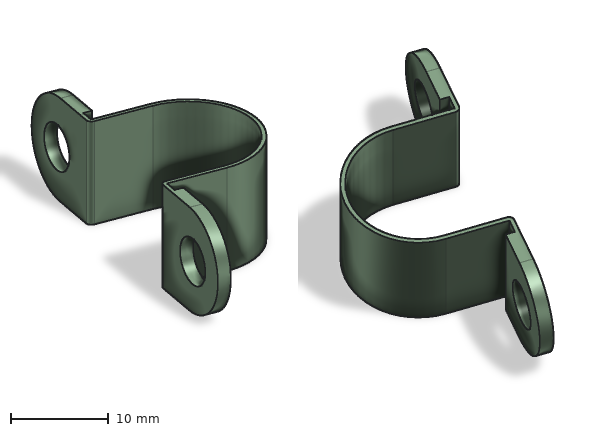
import cadquery as cq

length = 39.2
depth = 15.5
width = 12.0

strap_thickness = 0.5
strap_radius = 8.0
bend_radius = 0.6
tab_thickness = 1.53
pad_inner_x = 9.6
hole_diameter = 5.3
hole_spacing = 28.58

inner_radius = strap_radius - strap_thickness
arc_center_y = depth - strap_radius
tab_end_radius = width / 2
tab_arc_x = length / 2 - tab_end_radius


def make_strap():
    """Half-round strap with two straight legs, open toward -Y."""
    profile = (
        cq.Workplane("XY")
        .moveTo(-strap_radius, 0)
        .lineTo(-strap_radius, arc_center_y)
        .threePointArc((0, depth), (strap_radius, arc_center_y))
        .lineTo(strap_radius, 0)
        .lineTo(inner_radius, 0)
        .lineTo(inner_radius, arc_center_y)
        .threePointArc((0, arc_center_y + inner_radius), (-inner_radius, arc_center_y))
        .lineTo(-inner_radius, 0)
        .close()
    )
    return profile.extrude(width / 2, both=True)


def tab_layer(inner_x, thickness):
    """Plate on the +X side, from inner_x to the rounded tab end, lying on Y = 0."""
    return (
        cq.Workplane("XZ")
        .moveTo(inner_x, -width / 2)
        .lineTo(tab_arc_x, -width / 2)
        .threePointArc((length / 2, 0), (tab_arc_x, width / 2))
        .lineTo(inner_x, width / 2)
        .close()
        .extrude(-thickness)
    )


def make_tab():
    """Thin foot joining the strap leg, with a thicker pad around the screw hole."""
    foot = tab_layer(inner_radius, strap_thickness)
    pad = tab_layer(pad_inner_x, tab_thickness)
    hole = (
        cq.Workplane("XZ")
        .center(hole_spacing / 2, 0)
        .circle(hole_diameter / 2)
        .extrude(-tab_thickness)
    )
    return foot.union(pad).cut(hole)


tab = make_tab()
clamp = make_strap().union(tab).union(tab.mirror("YZ")).clean()

for side in (-1, 1):
    bend_edge = cq.selectors.NearestToPointSelector((side * inner_radius, 0, 0))
    clamp = clamp.edges("|Z").edges(bend_edge).fillet(bend_radius)

result = clamp